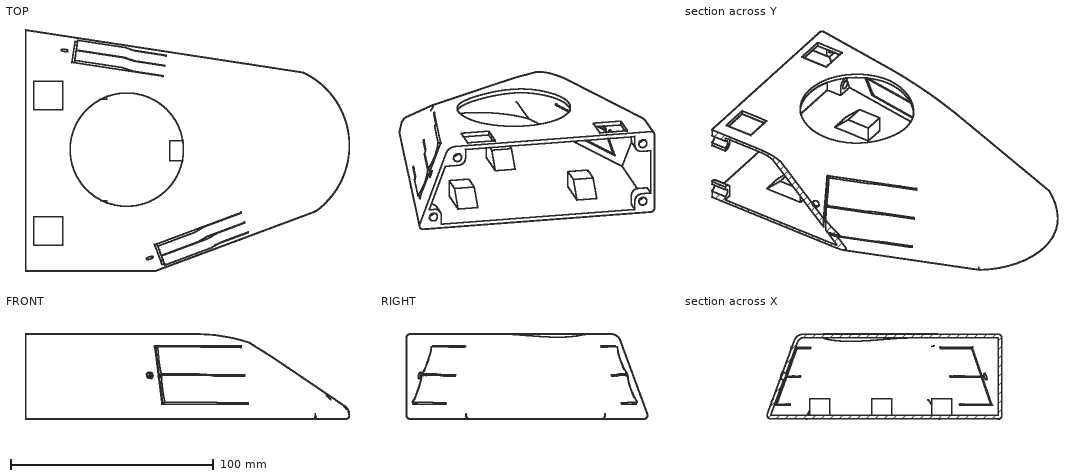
import cadquery as cq
import math

LENGTH = 160.0
BASE_WIDTH = 120.0
HEIGHT = 42.15
WALL = 2.0
REACH = 400.0

SIDE_LEAN = 20.0
RIGHT_PLAN_ANGLE = 20.4
RIGHT_START_X = 66.5
LEFT_PLAN_ANGLE = -8.7

NOSE_RADIUS = 40.0
NOSE_CENTER = (LENGTH - NOSE_RADIUS, 62.0)
NOSE_START = -62.0
NOSE_END = 72.0

HOOD_AZIMUTH = 32.3
HOOD_TILT = 28.2
HOOD_RADIUS = 80.0
CORNER_POINT = (113.3, 53.0)

RIDGE_PLAN_ANGLE = 38.0
RIDGE_RADIUS = 70.0
RIDGE_TURN = 20.5

TOP_ROUND = 5.0
EDGE_ROUND = 2.0

LENS_CENTER = (50.0, 60.0)
LENS_DIAMETER = 56.0
WINDOW_SIZE = (14.5, 14.0)
WINDOW_X = 11.2
WINDOW_Y = (19.9, 86.8)

POST_DEPTH = 8.0
POST_REACH = 4.0
POST_ROUND = 3.5
SCREW_DIAMETER = 4.0
SCREW_INSET = 6.0
POST_LEFT_LOW_Y = 112.0
POST_LEFT_HIGH_Y = 99.8

RAMP_RUN = 8.0
RAMP_RISE = 8.0
RAMP_LENGTH = 20.0
RAMP_WIDTH = 10.0
RAMPS = ((20.0, 29.8), (71.2, 59.5), (20.0, 90.0))

SLIT_ROWS = (8.3, 23.1, 38.2)
SLIT_LENGTH = 45.5
SLIT_WIDTH = 0.7
REAR_SLIT_WIDTH = 1.2
FLAP_RISE = 1.0
FLAP_FLOOR = 0.2
FLAP_RUN = 5.4
PILOT_DIAMETER = 3.3
PILOT_OFFSET = 4.5
RIGHT_LOUVRE_START = 2.0
RIGHT_FLAPS = (31.0, 26.0)
LEFT_LOUVRE_START = 25.2
LEFT_FLAPS = (30.5, 30.5)

NUDGE = 1.0
UPWARD = 0.6
ON_FACE = 0.001


def wall_frame(origin, plan_angle, side):
    """Frame on a leaning wall: x along it, z outward. side is -1 for right, +1 for left."""
    a = math.radians(plan_angle)
    lean = math.radians(SIDE_LEAN)
    along = (math.cos(a), math.sin(a), 0)
    outward = (
        -side * math.sin(a) * math.cos(lean),
        side * math.cos(a) * math.cos(lean),
        math.sin(lean),
    )
    return cq.Plane(origin=origin, xDir=along, normal=outward)


RIGHT_FRAME = wall_frame((RIGHT_START_X, 0, 0), RIGHT_PLAN_ANGLE, -1)
LEFT_FRAME = wall_frame((0, BASE_WIDTH, 0), LEFT_PLAN_ANGLE, 1)


def beyond_wall(frame, inset):
    """Everything outside a leaning wall plane moved inward by inset."""
    return cq.Workplane(frame).workplane(offset=-inset).rect(REACH, REACH).extrude(REACH)


def hood_prism(inset):
    """Space under the flat top, its roll-off and the main slope."""
    tilt = math.radians(HOOD_TILT)
    azimuth = math.radians(HOOD_AZIMUTH)
    radius = HOOD_RADIUS - inset
    center_x = -HOOD_RADIUS * math.sin(tilt)
    center_z = HEIGHT - HOOD_RADIUS
    top = HEIGHT - inset
    mid = (center_x + radius * math.sin(tilt / 2), center_z + radius * math.cos(tilt / 2))
    end = (center_x + radius * math.sin(tilt), center_z + radius * math.cos(tilt))
    low = (end[0] + REACH * math.cos(tilt), end[1] - REACH * math.sin(tilt))
    frame = cq.Plane(
        origin=(*CORNER_POINT, 0),
        xDir=(math.cos(azimuth), math.sin(azimuth), 0),
        normal=(math.sin(azimuth), -math.cos(azimuth), 0),
    )
    return (
        cq.Workplane(frame)
        .moveTo(-REACH, low[1])
        .lineTo(-REACH, top)
        .lineTo(center_x, top)
        .threePointArc(mid, end)
        .lineTo(*low)
        .close()
        .extrude(REACH, both=True)
    )


def above_ridge(inset):
    """Empty space above the ridge rounding and the front slope."""
    tilt = math.radians(HOOD_TILT)
    azimuth = math.radians(HOOD_AZIMUTH)
    ridge = math.radians(RIDGE_PLAN_ANGLE)
    turn = math.radians(RIDGE_TURN)
    normal = cq.Vector(
        math.sin(tilt) * math.cos(azimuth), math.sin(tilt) * math.sin(azimuth), math.cos(tilt)
    )
    fall = math.tan(tilt) * math.cos(ridge - azimuth)
    along = cq.Vector(math.cos(ridge), math.sin(ridge), -fall).normalized()
    across = along.cross(normal)
    corner_z = HEIGHT - HOOD_RADIUS * (1 - math.cos(tilt))
    frame = cq.Plane(origin=(*CORNER_POINT, corner_z), xDir=across, normal=along * -1)
    radius = RIDGE_RADIUS - inset
    start = (0, -inset)
    mid = (radius * math.sin(turn / 2), radius * math.cos(turn / 2) - RIDGE_RADIUS)
    end = (radius * math.sin(turn), radius * math.cos(turn) - RIDGE_RADIUS)
    far = (end[0] + REACH * math.cos(turn), end[1] - REACH * math.sin(turn))
    return (
        cq.Workplane(frame)
        .moveTo(*start)
        .threePointArc(mid, end)
        .lineTo(*far)
        .lineTo(far[0], REACH)
        .lineTo(0, REACH)
        .close()
        .extrude(REACH, both=True)
    )


def body(inset, rear_x):
    """Closed hull with sharp edges, every wall moved inward by inset."""
    nose_x, nose_y = NOSE_CENTER
    nose_radius = NOSE_RADIUS - inset

    def nose_point(degrees):
        angle = math.radians(degrees)
        return (nose_x + nose_radius * math.cos(angle), nose_y + nose_radius * math.sin(angle))

    nose_right = nose_point(NOSE_START)
    nose_left = nose_point(NOSE_END)
    plan = (
        cq.Workplane("XY", origin=(0, 0, inset))
        .moveTo(rear_x, inset)
        .lineTo(nose_right[0], inset)
        .lineTo(*nose_right)
        .threePointArc(nose_point(0), nose_left)
        .lineTo(nose_left[0], BASE_WIDTH + NUDGE)
        .lineTo(rear_x, BASE_WIDTH + NUDGE)
        .close()
        .extrude(HEIGHT - 2 * inset)
    )
    hull = plan.cut(beyond_wall(RIGHT_FRAME, inset)).cut(beyond_wall(LEFT_FRAME, inset))
    return hull.intersect(hood_prism(inset)).cut(above_ridge(inset))


def hood_rim(hull):
    """Edges between the hood faces and the upright or leaning walls."""
    faces = hull.faces().vals()
    rim = []
    for edge in hull.edges().vals():
        owners = [f for f in faces if any(edge.isSame(other) for other in f.Edges())]
        hood_count = sum(f.normalAt(f.Center()).z > UPWARD for f in owners)
        at_rear = edge.BoundingBox().xmax < ON_FACE
        if hood_count == 1 and not at_rear:
            rim.append(edge)
    return rim


def round_hood(hull, radius, straight_y):
    """Round the hood rim, leaving the short edge on the straight right wall sharp."""
    rim = [e for e in hood_rim(hull) if e.BoundingBox().ymax > straight_y + ON_FACE]
    return hull.newObject(rim).fillet(radius)


def round_walls(hull):
    """Round the floor outline, the corners between walls and the top of the straight right wall."""
    edges = []
    for edge in hull.edges().vals():
        box = edge.BoundingBox()
        at_rear = box.xmax < ON_FACE
        on_floor = box.zmax < ON_FACE
        on_right_wall = box.ymax < ON_FACE
        wall_corner = box.zmin < ON_FACE
        if not at_rear and (on_floor or on_right_wall or wall_corner):
            edges.append(edge)
    return hull.newObject(edges).fillet(EDGE_ROUND)


def post(axis_y, axis_z, side, level):
    """Corner post; side and level (+1 or -1) point from its axis toward the corner."""
    width = 4 * POST_REACH
    center_y = axis_y + side * (width / 2 - POST_REACH)
    center_z = axis_z + level * (width / 2 - POST_REACH)
    block = cq.Workplane("XY").box(POST_DEPTH, width, width)
    inner_y = ">Y" if side < 0 else "<Y"
    inner_z = ">Z" if level < 0 else "<Z"
    block = block.faces(inner_y).edges(inner_z).fillet(POST_ROUND)
    return block.translate((POST_DEPTH / 2, center_y, center_z))


def ramp(low_x, center_y):
    """Block on the floor with a slope toward the open end, sunk halfway into the floor."""
    return (
        cq.Workplane("XZ", origin=(low_x, center_y + RAMP_WIDTH / 2, WALL))
        .moveTo(0, 0)
        .lineTo(RAMP_RUN, RAMP_RISE)
        .lineTo(RAMP_LENGTH, RAMP_RISE)
        .lineTo(RAMP_LENGTH, -WALL / 2)
        .lineTo(0, -WALL / 2)
        .close()
        .extrude(RAMP_WIDTH)
    )


def wall_box(frame, along, up, depth):
    """Box sunk into a wall from just above its surface; along and up are (from, to)."""
    return (
        cq.Workplane(frame)
        .workplane(offset=-depth)
        .center(sum(along) / 2, sum(up) / 2)
        .rect(along[1] - along[0], up[1] - up[0])
        .extrude(depth + NUDGE)
    )


def across_wall(frame, up):
    """Workplane square to the wall at height up: local x along the wall, local y outward."""
    origin = frame.toWorldCoords((0, up, 0))
    return cq.Workplane(cq.Plane(origin=origin, xDir=frame.xDir, normal=frame.yDir * -1))


def flap(frame, start, end, row_low, row_high):
    """Raised flap between two slits, sloped at its front end and hollowed along its length."""
    low = row_low + SLIT_WIDTH / 2
    high = row_high - SLIT_WIDTH / 2
    rear = start + REAR_SLIT_WIDTH
    block = (
        across_wall(frame, high)
        .moveTo(rear, -WALL / 2)
        .lineTo(rear, FLAP_RISE)
        .lineTo(start + end - FLAP_RUN, FLAP_RISE)
        .lineTo(start + end, 0)
        .lineTo(start + end, -WALL / 2)
        .close()
        .extrude(high - low)
    )
    half_chord = (high - low) / 2
    sag = FLAP_RISE - FLAP_FLOOR
    radius = (half_chord ** 2 + sag ** 2) / (2 * sag)
    axis_point = frame.toWorldCoords((start, (low + high) / 2, FLAP_FLOOR + radius))
    hollow = cq.Workplane(cq.Plane(origin=axis_point, xDir=frame.yDir, normal=frame.xDir))
    return block.cut(hollow.circle(radius).extrude(end))


def add_louvre(hull, frame, start, flap_ends, climb):
    """Slits, flaps and pilot hole of one wall; climb is the sign of the frame y that goes up."""
    through = 2 * WALL
    rows = [climb * row for row in SLIT_ROWS]
    slits = [wall_box(frame, (start, start + REAR_SLIT_WIDTH), (min(rows), max(rows)), through)]
    for row in rows:
        slit_rows = (row - SLIT_WIDTH / 2, row + SLIT_WIDTH / 2)
        slits.append(wall_box(frame, (start, start + SLIT_LENGTH), slit_rows, through))
    pilot = (
        cq.Workplane(frame)
        .workplane(offset=-through)
        .center(start - PILOT_OFFSET, rows[1])
        .circle(PILOT_DIAMETER / 2)
        .extrude(through + NUDGE)
    )
    for cutter in [*slits, pilot]:
        hull = hull.cut(cutter)
    for end, first, second in zip(flap_ends, rows, rows[1:]):
        hull = hull.union(flap(frame, start, end, min(first, second), max(first, second)))
    return hull


def top_openings():
    """Round opening and two windows through the flat top."""
    lens = cq.Workplane("XY", origin=(*LENS_CENTER, HEIGHT / 2)).circle(LENS_DIAMETER / 2).extrude(HEIGHT)
    windows = (
        cq.Workplane("XY", origin=(0, 0, HEIGHT / 2))
        .pushPoints([(WINDOW_X, y) for y in WINDOW_Y])
        .rect(*WINDOW_SIZE)
        .extrude(HEIGHT)
    )
    return [lens, windows]


outer = round_walls(round_hood(body(0, 0), TOP_ROUND, 0))
cavity = round_hood(body(WALL, -NUDGE), TOP_ROUND - WALL, WALL)

high_z = HEIGHT - SCREW_INSET
screw_posts = (
    (SCREW_INSET, SCREW_INSET, -1, -1),
    (SCREW_INSET, high_z, -1, 1),
    (POST_LEFT_LOW_Y, SCREW_INSET, 1, -1),
    (POST_LEFT_HIGH_Y, high_z, 1, 1),
)
for axis_y, axis_z, side, level in screw_posts:
    cavity = cavity.cut(post(axis_y, axis_z, side, level))
shell = outer.cut(cavity)

screw_axes = [(axis_y, axis_z) for axis_y, axis_z, _, _ in screw_posts]
screw_holes = cq.Workplane("YZ").pushPoints(screw_axes).circle(SCREW_DIAMETER / 2).extrude(POST_DEPTH)
shell = shell.cut(screw_holes)

for low_x, center_y in RAMPS:
    shell = shell.union(ramp(low_x, center_y))

for opening in top_openings():
    shell = shell.cut(opening)

shell = add_louvre(shell, RIGHT_FRAME, RIGHT_LOUVRE_START, RIGHT_FLAPS, 1)
shell = add_louvre(shell, LEFT_FRAME, LEFT_LOUVRE_START, LEFT_FLAPS, -1)

result = shell